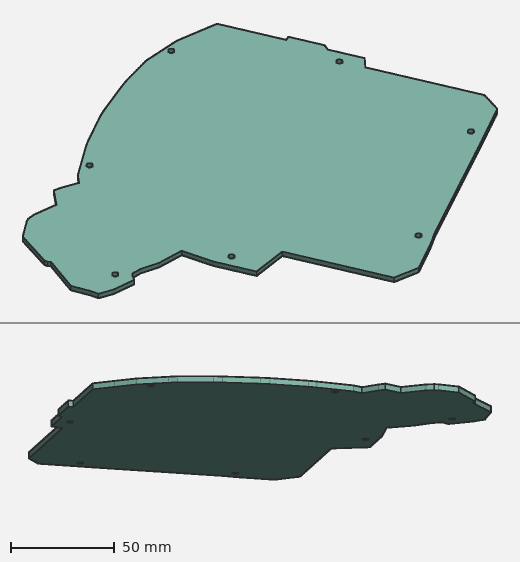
import cadquery as cq

width = 189.0
height = 200.0
thickness = 3.0
hole_diameter = 3.0

top_edge = 197.5
right_block_top = 191.5
right_block_bottom = 56.4
lower_tab_bottom = 39.2

bow_corners = [
    (12.8, 75.8),
    (10.2, 94.8),
    (9.8, 99.0),
    (9.8, 118.2),
    (10.2, 123.0),
    (12.8, 141.2),
    (13.5, 145.4),
    (18.2, 162.2),
    (20.2, 166.0),
]

top_corners = [
    (27.5, 180.0),
    (35.0, 189.0),
    (42.2, top_edge),
    (77.2, top_edge),
    (77.5, height),
    (96.0, height),
    (98.4, top_edge),
    (117.2, top_edge),
    (119.5, right_block_top),
]

right_corners = [
    (180.0, right_block_top),
    (width, 184.4),
    (width, 158.2),
    (188.4, 92.4),
    (width, 84.0),
    (width, 66.8),
    (180.0, right_block_bottom),
    (123.2, right_block_bottom),
]

lower_tab_corners = [
    (116.0, lower_tab_bottom),
    (93.8, lower_tab_bottom),
    (77.2, 41.4),
]

lobe_corners = [
    (69.5, 29.8),
    (62.5, 23.0),
    (59.8, 18.4),
    (62.2, 14.8),
    (55.0, 5.2),
    (50.0, 0.8),
    (49.0, 0),
    (45.0, 0.5),
    (34.5, 1.0),
    (20.2, 13.8),
    (18.8, 13.4),
    (16.8, 13.8),
    (1.5, 26.2),
    (0, 36.8),
    (0, 38.8),
    (1.8, 42.5),
    (9.8, 52.8),
    (5.4, 61.8),
    (8.0, 64.5),
    (15.2, 70.8),
]

hole_centers = [
    (27.4, 172.5),
    (106.4, 191.4),
    (182.0, 165.4),
    (181.5, 88.2),
    (101.2, 45.4),
    (52.2, 15.5),
    (16.0, 84.0),
]


def make_plate():
    """Flat plate with a straight-edged outline."""
    corners = top_corners + right_corners + lower_tab_corners + lobe_corners + bow_corners
    return (
        cq.Workplane("XY")
        .polyline(corners)
        .close()
        .extrude(thickness)
    )


def make_holes():
    """Cylinders for the through holes."""
    return (
        cq.Workplane("XY")
        .pushPoints(hole_centers)
        .circle(hole_diameter / 2)
        .extrude(thickness)
    )


result = make_plate().cut(make_holes())